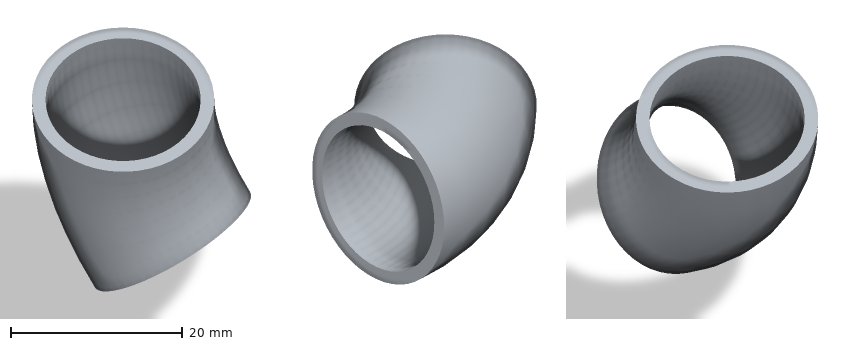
import cadquery as cq
import math

height = 26.98
outer_diameter = 21.3
wall = 1.6
bend_angle = 45.0

outer_radius = outer_diameter / 2
inner_radius = outer_radius - wall
outside_bend_radius = height / math.sin(math.radians(bend_angle))
bend_radius = outside_bend_radius - outer_radius

result = (
    cq.Workplane("XY")
    .circle(outer_radius)
    .circle(inner_radius)
    .revolve(bend_angle, (bend_radius, 0), (bend_radius, -1))
)